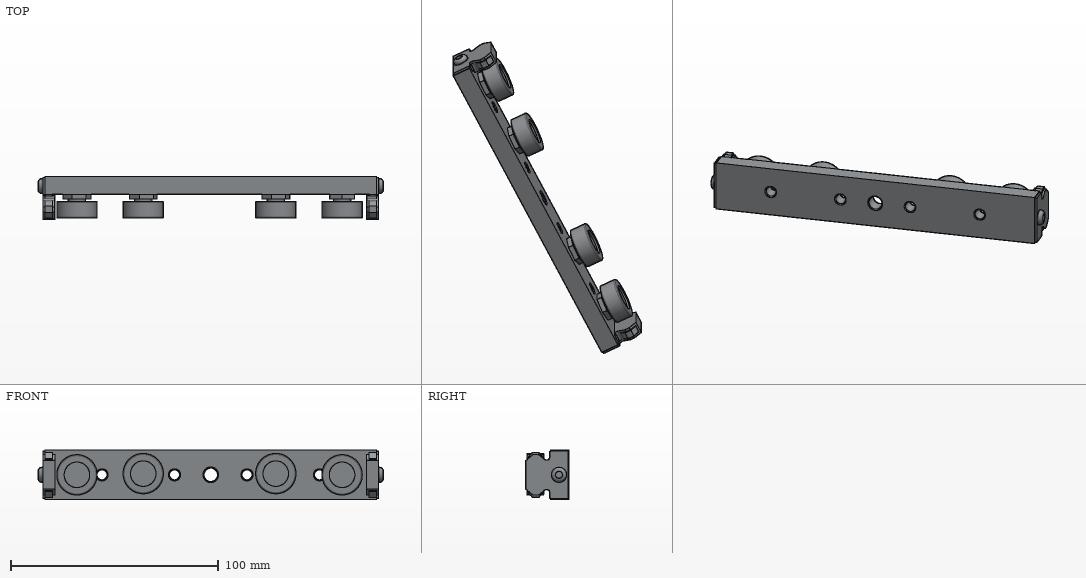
import cadquery as cq
import math

TOTAL_LENGTH = 166.5
TOTAL_DEPTH = 20.8

RAIL_LENGTH = 160.0
RAIL_HEIGHT = 24.0
RAIL_FRONT_Y = 1.7
RAIL_BACK_Y = TOTAL_DEPTH / 2
RAIL_END_X = RAIL_LENGTH / 2
CENTRE_HOLE_DIAMETER = 6.5
SIDE_HOLE_DIAMETER = 4.8
SIDE_HOLE_PITCH = 35.0
HOLE_CHAMFER = 0.5

ROLLER_PITCH = 32.0
ROLLER_ROW_SHIFT = -0.6
ECCENTRIC_LIFT = 0.58
WHEEL_DIAMETER = 19.5
WHEEL_BACK_Y = -1.7
WHEEL_FRONT_Y = -9.8
WHEEL_FILLET = 0.5
FACE_RECESS_DIAMETER = 12.3
FACE_RECESS_DEPTH = 1.0
COLLAR_DIAMETER = 8.5
HEX_FRONT_Y = -0.7
HEX_ACROSS_FLATS = 12.0
HEX_ACROSS_CORNERS = HEX_ACROSS_FLATS / math.cos(math.radians(30))

PLATE_THICKNESS = 1.0
PLATE_INSET = 0.5
PLATE_FRONT_Y = 1.2
PLATE_TOP_Z = RAIL_HEIGHT / 2 - PLATE_INSET
CAP_OUTER_X = RAIL_END_X + PLATE_THICKNESS
PLATE_CORNER_CHAMFER = 0.3
BLOCK_WIDTH = 5.8
BLOCK_FRONT_Y = -TOTAL_DEPTH / 2
BLOCK_FRONT_Z = 6.8
BLOCK_TOP_Z = 9.8
BLOCK_FLAT_BACK_Y = -4.3
BLOCK_FLAT_FRONT_Y = -6.8
NECK_RADIUS = 1.5
NECK_CENTRE_Y = PLATE_FRONT_Y - NECK_RADIUS
NECK_CENTRE_Z = 8.7
RIB_WIDTH = 3.5
RIB_TOP_Z = 10.8
RIB_BACK_Y = -1.5
RIB_BACK_Z = 7.7
RIB_FLAT_BACK_Y = -4.0
RIB_FLAT_FRONT_Y = -7.2
RIB_FRONT_Y = -9.7
RIB_FRONT_Z = 8.0
RIB_START_X = CAP_OUTER_X - (BLOCK_WIDTH + RIB_WIDTH) / 2
TONGUE_FRONT_Y = 0.8
TONGUE_TOP_Z = 7.7

SCREW_Y = 5.7
SCREW_OUTER_X = TOTAL_LENGTH / 2
SCREW_HEAD_HEIGHT = SCREW_OUTER_X - CAP_OUTER_X
SCREW_HEAD_DIAMETER = 7.3
SCREW_HEAD_FILLET = 1.8
SOCKET_DIAMETER = 3.3
SOCKET_DEPTH = 1.3


def disc(diameter, back_y, front_y):
    """Cylinder about the Y axis that runs from back_y forward to front_y."""
    return cq.Workplane("XZ", origin=(0, back_y, 0)).circle(diameter / 2).extrude(back_y - front_y)


def cut_rail_hole(rail, x, diameter):
    """Through hole along Y with a chamfered rim on both faces."""
    hole = disc(diameter, RAIL_BACK_Y, RAIL_FRONT_Y)
    rim_radius = diameter / 2 + HOLE_CHAMFER
    for y, direction in ((RAIL_FRONT_Y, 1), (RAIL_BACK_Y, -1)):
        rim_centre = cq.Vector(0, y, 0)
        inward = cq.Vector(0, direction, 0)
        rim = cq.Solid.makeCone(rim_radius, diameter / 2, HOLE_CHAMFER, rim_centre, inward)
        hole = hole.union(cq.Workplane(rim))
    return rail.cut(hole.translate((x, 0, 0)))


def make_rail():
    rail = cq.Workplane("XY").box(RAIL_LENGTH, RAIL_BACK_Y - RAIL_FRONT_Y, RAIL_HEIGHT)
    rail = rail.translate((0, (RAIL_BACK_Y + RAIL_FRONT_Y) / 2, 0))
    rail = cut_rail_hole(rail, 0, CENTRE_HOLE_DIAMETER)
    for step in (-1.5, -0.5, 0.5, 1.5):
        rail = cut_rail_hole(rail, step * SIDE_HOLE_PITCH, SIDE_HOLE_DIAMETER)
    return rail


def make_roller(x, z, hex_turn):
    wheel = disc(WHEEL_DIAMETER, WHEEL_BACK_Y, WHEEL_FRONT_Y).edges("%CIRCLE").fillet(WHEEL_FILLET)
    recess = disc(FACE_RECESS_DIAMETER, WHEEL_FRONT_Y + FACE_RECESS_DEPTH, WHEEL_FRONT_Y)
    collar = disc(COLLAR_DIAMETER, RAIL_FRONT_Y, WHEEL_BACK_Y)
    foot = (
        cq.Workplane("XZ", origin=(0, RAIL_FRONT_Y, 0))
        .polygon(6, HEX_ACROSS_CORNERS)
        .extrude(RAIL_FRONT_Y - HEX_FRONT_Y)
        .rotate((0, 0, 0), (0, 1, 0), hex_turn)
    )
    return wheel.cut(recess).union(collar).union(foot).translate((x, 0, z))


def mirrored_prism(upper_outline, start_x, width):
    """Extrude a YZ outline that closes on Z = 0 along X, together with its image below Z = 0."""
    upper = upper_outline.close().extrude(width)
    return upper.union(upper.mirror("XY")).translate((start_x, 0, 0))


def neck_arc_point(degrees):
    """Point (Y, Z) on the upper neck round; 0 degrees points along +Y."""
    angle = math.radians(degrees)
    return (NECK_CENTRE_Y + NECK_RADIUS * math.cos(angle), NECK_CENTRE_Z + NECK_RADIUS * math.sin(angle))


def make_plate():
    """Plate over the rail end, with a quarter-round foot that runs out onto the block's neck."""
    back_y = RAIL_BACK_Y - PLATE_INSET
    upper = (
        cq.Workplane("YZ")
        .moveTo(back_y, 0)
        .lineTo(back_y, PLATE_TOP_Z)
        .lineTo(PLATE_FRONT_Y + PLATE_CORNER_CHAMFER, PLATE_TOP_Z)
        .lineTo(PLATE_FRONT_Y, PLATE_TOP_Z - PLATE_CORNER_CHAMFER)
        .lineTo(PLATE_FRONT_Y, NECK_CENTRE_Z)
        .threePointArc(neck_arc_point(-45), neck_arc_point(-90))
        .lineTo(NECK_CENTRE_Y, 0)
    )
    return mirrored_prism(upper, RAIL_END_X, PLATE_THICKNESS)


def make_block():
    """Wiper block: a flat-topped neck that curves up into a head with bevelled corners."""
    upper = (
        cq.Workplane("YZ")
        .moveTo(PLATE_FRONT_Y, 0)
        .lineTo(PLATE_FRONT_Y, NECK_CENTRE_Z - NECK_RADIUS)
        .lineTo(*neck_arc_point(-90))
        .threePointArc(neck_arc_point(-112.5), neck_arc_point(-135))
        .lineTo(BLOCK_FLAT_BACK_Y, BLOCK_TOP_Z)
        .lineTo(BLOCK_FLAT_FRONT_Y, BLOCK_TOP_Z)
        .lineTo(BLOCK_FRONT_Y, BLOCK_FRONT_Z)
        .lineTo(BLOCK_FRONT_Y, 0)
    )
    return mirrored_prism(upper, CAP_OUTER_X - BLOCK_WIDTH, BLOCK_WIDTH)


def make_rib():
    """Raised band around the middle of the head's top and bottom."""
    upper = (
        cq.Workplane("YZ")
        .moveTo(RIB_BACK_Y, 0)
        .lineTo(RIB_BACK_Y, RIB_BACK_Z)
        .lineTo(RIB_FLAT_BACK_Y, RIB_TOP_Z)
        .lineTo(RIB_FLAT_FRONT_Y, RIB_TOP_Z)
        .lineTo(RIB_FRONT_Y, RIB_FRONT_Z)
        .lineTo(RIB_FRONT_Y, 0)
    )
    return mirrored_prism(upper, RIB_START_X, RIB_WIDTH)


def make_tongue():
    """Narrow stub that joins the neck to the rail's front face."""
    depth = RAIL_FRONT_Y - TONGUE_FRONT_Y
    tongue = cq.Workplane("XY").box(RIB_WIDTH, depth, 2 * TONGUE_TOP_Z)
    return tongue.translate((RIB_START_X + RIB_WIDTH / 2, TONGUE_FRONT_Y + depth / 2, 0))


def make_end_cap():
    return make_plate().union(make_block()).union(make_rib()).union(make_tongue())


def make_screw():
    head = (
        cq.Workplane("YZ", origin=(CAP_OUTER_X, SCREW_Y, 0))
        .circle(SCREW_HEAD_DIAMETER / 2)
        .extrude(SCREW_HEAD_HEIGHT)
        .faces(">X")
        .edges()
        .fillet(SCREW_HEAD_FILLET)
    )
    return head.faces(">X").workplane().circle(SOCKET_DIAMETER / 2).cutBlind(-SOCKET_DEPTH)


rail = make_rail()

roller_settings = (
    (-2, 0, 10),
    (-1, ECCENTRIC_LIFT, 15),
    (1, ECCENTRIC_LIFT, 12),
    (2, 0, 30),
)
rollers = [
    make_roller(ROLLER_ROW_SHIFT + pitches * ROLLER_PITCH, lift, hex_turn)
    for pitches, lift, hex_turn in roller_settings
]

end_cap = make_end_cap()
end_caps = [end_cap, end_cap.mirror("YZ")]
screw = make_screw()
screws = [screw, screw.mirror("YZ")]

bodies = [rail] + rollers + end_caps + screws
result = cq.Compound.makeCompound([body.val() for body in bodies])